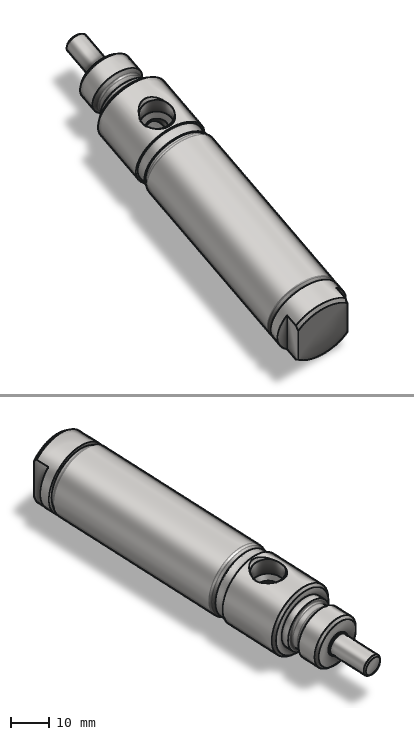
import cadquery as cq


overall_length = 113.5
body_radius = 10.9
rod_radius = 3.2

rod_tip_chamfer = 0.5

nose_x = 12.7
nose_radius = 8.0
nose_chamfer = 0.8
groove_start_x = 19.2
groove_radius = 6.8
groove_cone_fillet = 0.9
groove_shoulder_fillet = 0.6
shoulder_x = 22.9
head_body_x = 25.2
head_chamfer = 0.8
step_x = 43.5
step_radius = 10.3
head_end_x = 46.5

lip_radius = 3.5
lip_height = 0.5

port_x = 37.3
port_radius = 4.7
port_mouth_radius = 5.5
port_mouth_depth = 0.8
port_floor_z = 4.9
port_tip_drop = 0.9
port_pilot_radius = 3.1
port_cutter_overshoot = 1.1

barrel_end_x = 105.3
crimp_radius = 9.9
front_crimp_length = 1.5
rear_crimp_length = 1.5
front_crimp_fillet = 1.4
rear_crimp_fillet = 0.5

flat_x = 108.4
flat_half_width = 7.8
cap_chamfer_length = 1.0
cap_chamfer_depth = 0.8


def turned(profile):
    """Revolve a list of (x, radius) points about the X axis."""
    start_x = profile[0][0]
    end_x = profile[-1][0]
    points = [(start_x, 0), *profile, (end_x, 0)]
    return cq.Workplane("XY").polyline(points).close().revolve(360, (0, 0, 0), (1, 0, 0))


def round_edge(body, edge_x, edge_radius, fillet_radius):
    """Fillet the circular edge of a turned body that lies at edge_x with the given radius."""
    half_slice = 0.06
    reach = edge_radius + half_slice
    thin_slice = cq.selectors.BoxSelector(
        (edge_x - half_slice, -reach, -reach), (edge_x + half_slice, reach, reach), boundingbox=True
    )
    return body.edges(thin_slice).fillet(fillet_radius)


def make_rod():
    return turned([
        (0, rod_radius - rod_tip_chamfer),
        (rod_tip_chamfer, rod_radius),
        (head_end_x, rod_radius),
    ])


def make_port_cutter():
    """Chamfered port hole with a drill-point floor and a pilot hole down to the rod bore."""
    profile = [
        (0, 0),
        (port_pilot_radius, 0),
        (port_pilot_radius, port_floor_z - port_tip_drop),
        (port_radius, port_floor_z),
        (port_radius, body_radius - port_mouth_depth),
        (port_mouth_radius, body_radius),
        (port_mouth_radius, body_radius + port_cutter_overshoot),
        (0, body_radius + port_cutter_overshoot),
    ]
    cutter = cq.Workplane("XZ").polyline(profile).close().revolve(360, (0, 0, 0), (0, 1, 0))
    return cutter.translate((port_x, 0, 0))


def make_head():
    groove_depth = nose_radius - groove_radius
    head = turned([
        (nose_x - lip_height, lip_radius),
        (nose_x, lip_radius),
        (nose_x, nose_radius - nose_chamfer),
        (nose_x + nose_chamfer, nose_radius),
        (groove_start_x, nose_radius),
        (groove_start_x + groove_depth, groove_radius),
        (shoulder_x, groove_radius),
        (shoulder_x, nose_radius),
        (head_body_x, nose_radius),
        (head_body_x, body_radius - head_chamfer),
        (head_body_x + head_chamfer, body_radius),
        (step_x, body_radius),
        (step_x, step_radius),
        (head_end_x, step_radius),
    ])
    head = round_edge(head, groove_start_x + groove_depth, groove_radius, groove_cone_fillet)
    head = round_edge(head, shoulder_x, groove_radius, groove_shoulder_fillet)
    rod_bore = cq.Workplane("YZ").circle(rod_radius).extrude(head_end_x)
    return head.cut(rod_bore).cut(make_port_cutter())


def make_barrel():
    front_corner_x = head_end_x + front_crimp_length
    rear_corner_x = barrel_end_x - rear_crimp_length
    barrel = turned([
        (head_end_x, crimp_radius),
        (front_corner_x, body_radius),
        (rear_corner_x, body_radius),
        (barrel_end_x, crimp_radius),
    ])
    barrel = round_edge(barrel, front_corner_x, body_radius, front_crimp_fillet)
    return round_edge(barrel, rear_corner_x, body_radius, rear_crimp_fillet)


def make_rear_cap():
    cap = turned([
        (barrel_end_x, body_radius),
        (overall_length - cap_chamfer_length, body_radius),
        (overall_length, body_radius - cap_chamfer_depth),
    ])
    between_flats = cq.Workplane("XY").box(
        overall_length - flat_x, 2 * flat_half_width, 2 * body_radius, centered=(False, True, True)
    ).translate((flat_x, 0, 0))
    flange_length = flat_x - barrel_end_x
    full_round = cq.Workplane("YZ", origin=(barrel_end_x, 0, 0)).circle(body_radius).extrude(flange_length)
    return cap.intersect(full_round.union(between_flats))


rod = make_rod()
head = make_head()
barrel = make_barrel()
rear_cap = make_rear_cap()

result = cq.Compound.makeCompound([rod.val(), head.val(), barrel.val(), rear_cap.val()])